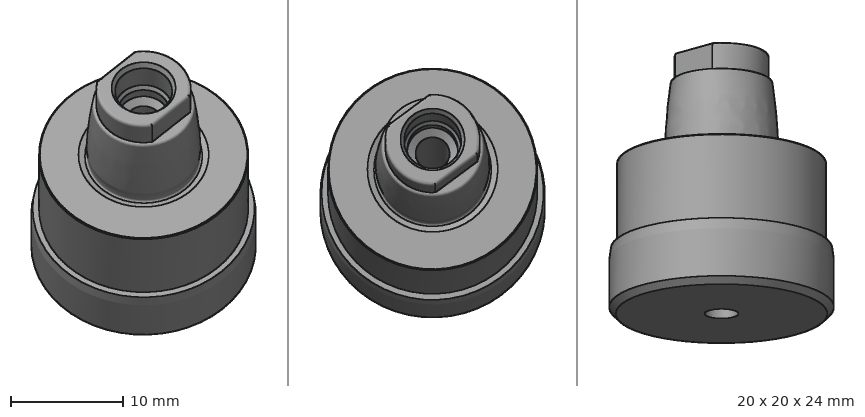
import cadquery as cq

height = 23.95
collar_radius = 10.0
base_chamfer = 0.6
collar_bevel_start = 5.0
collar_top = 6.0
collar_top_radius = 9.87
body_radius = 9.32
body_top = 13.99
body_chamfer = 0.1

recess_radius = 5.8
recess_floor_radius = 5.22
recess_depth = 0.2

neck_foot_radius = 5.0
neck_foot_top = 14.45
neck_wide_radius = 5.08
neck_wide_height = 15.02
shoulder_radius = 4.53
shoulder_height = 21.45
taper_bulge = 0.1
shoulder_round = 0.25

tip_radius = 4.22
flat_width = 7.0
tip_round = 0.29

hole_radius = 1.5
bore_radius = 2.55
mouth_radius = 2.85
mouth_depth = 0.48
bore_depth = 3.0
floor_bevel_width = 0.29
floor_bevel_depth = 0.34
seat_wall_length = 0.95
seat_depth = 0.45


def make_outer_body():
    """Collar, body and neck as one turned solid, up to the shoulder."""
    recess_floor = body_top - recess_depth
    foot_round = recess_floor_radius - neck_foot_radius
    taper_middle = (
        (neck_wide_radius + shoulder_radius) / 2 + taper_bulge,
        (neck_wide_height + shoulder_height) / 2,
    )
    below_foot = [
        (0, 0),
        (collar_radius - base_chamfer, 0),
        (collar_radius, base_chamfer),
        (collar_radius, collar_bevel_start),
        (collar_top_radius, collar_top),
        (body_radius, collar_top),
        (body_radius, body_top - body_chamfer),
        (body_radius - body_chamfer, body_top),
        (recess_radius, body_top),
        (recess_floor_radius, recess_floor),
    ]
    profile = (
        cq.Workplane("XZ")
        .polyline(below_foot)
        .radiusArc((neck_foot_radius, recess_floor + foot_round), foot_round)
        .lineTo(neck_foot_radius, neck_foot_top)
        .lineTo(neck_wide_radius, neck_wide_height)
        .threePointArc(taper_middle, (shoulder_radius, shoulder_height))
        .lineTo(0, shoulder_height)
        .close()
    )
    turned = profile.revolve(360, (0, 0), (0, 1))
    return turned.faces(">Z").edges().fillet(shoulder_round)


def make_tip():
    """Round tip cut to a pair of flats, rounded along its whole top edge."""
    tip_length = height - shoulder_height
    round_tip = cq.Workplane("XY").circle(tip_radius).extrude(tip_length)
    between_flats = cq.Workplane("XY").rect(flat_width, 2 * tip_radius).extrude(tip_length)
    tip = round_tip.intersect(between_flats).faces(">Z").edges().fillet(tip_round)
    return tip.translate((0, 0, shoulder_height))


def make_bore():
    """Countersunk bore from the top, a conical seat and a narrower through hole."""
    bore_floor = height - bore_depth
    seat_radius = bore_radius - floor_bevel_width
    seat_top = bore_floor - floor_bevel_depth
    seat_bottom = seat_top - seat_wall_length
    outline = [
        (0, 0),
        (hole_radius, 0),
        (hole_radius, seat_bottom - seat_depth),
        (seat_radius, seat_bottom),
        (seat_radius, seat_top),
        (bore_radius, bore_floor),
        (bore_radius, height - mouth_depth),
        (mouth_radius, height),
        (0, height),
    ]
    return cq.Workplane("XZ").polyline(outline).close().revolve(360, (0, 0), (0, 1))


result = make_outer_body().union(make_tip()).cut(make_bore())